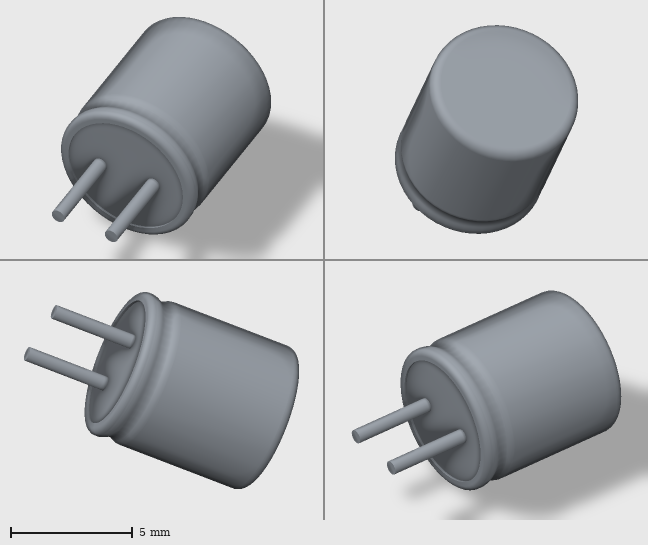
import cadquery as cq
import math

total_length = 10.5
lead_length = 3.5
can_length = total_length - lead_length
can_radius = 6.3 / 2

back_fillet = 0.4
front_fillet = 0.25

groove_center = 0.88
groove_depth = 0.16
groove_half_width = 0.52
waist_half_width = 0.24
waist_radius = can_radius - groove_depth

seal_radius = 5.4 / 2
seal_recess = 0.1

lead_diameter = 0.6
lead_pitch = 2.5

groove_angle = 2 * math.atan(groove_depth / groove_half_width)
waist_arc_radius = waist_half_width / math.sin(groove_angle)
shoulder_arc_radius = (groove_half_width - waist_half_width) / math.sin(groove_angle)
waist_edge_radius = waist_radius + waist_arc_radius * (1 - math.cos(groove_angle))


def make_can():
    """Revolve the half profile, drawn as (radius, Y), around the Y axis."""
    profile = (
        cq.Workplane("XY")
        .lineTo(can_radius - front_fillet, 0)
        .radiusArc((can_radius, front_fillet), -front_fillet)
        .lineTo(can_radius, groove_center - groove_half_width)
        .radiusArc((waist_edge_radius, groove_center - waist_half_width), -shoulder_arc_radius)
        .radiusArc((waist_edge_radius, groove_center + waist_half_width), waist_arc_radius)
        .radiusArc((can_radius, groove_center + groove_half_width), -shoulder_arc_radius)
        .lineTo(can_radius, can_length - back_fillet)
        .radiusArc((can_radius - back_fillet, can_length), -back_fillet)
        .lineTo(0, can_length)
        .close()
    )
    return profile.revolve(360, (0, 0), (0, 1))


def cylinder_along_y(radius, y_start, y_end, x=0):
    return (
        cq.Workplane("XZ", origin=(x, y_end, 0))
        .circle(radius)
        .extrude(y_end - y_start)
    )


result = make_can().cut(cylinder_along_y(seal_radius, 0, seal_recess))
for x in (-lead_pitch / 2, lead_pitch / 2):
    result = result.union(cylinder_along_y(lead_diameter / 2, -lead_length, seal_recess, x))